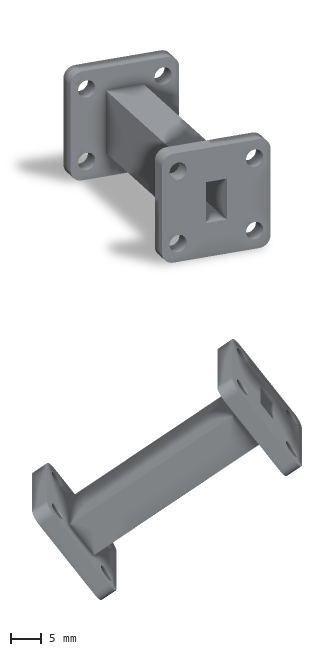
import cadquery as cq

length = 40.0
flange_side = 19.1
flange_thickness = 2.95
corner_radius = 2.0

tube_width = 6.65
tube_height = 10.95
passage_width = 3.7
passage_height = 7.2

hole_diameter = 3.0
hole_spacing_y = 13.5
hole_spacing_z = 12.7


def make_flange(start_x):
    """Square plate with rounded corners and four bolt holes, extending in +X from start_x."""
    return (
        cq.Workplane("YZ", origin=(start_x, 0, 0))
        .rect(flange_side, flange_side)
        .extrude(flange_thickness)
        .edges("|X")
        .fillet(corner_radius)
        .faces("<X")
        .workplane(centerOption="CenterOfBoundBox")
        .rect(hole_spacing_y, hole_spacing_z, forConstruction=True)
        .vertices()
        .hole(hole_diameter)
    )


tube = cq.Workplane("XY").box(length, tube_width, tube_height)
passage = cq.Workplane("XY").box(length, passage_width, passage_height)

result = tube
for flange_start in (-length / 2, length / 2 - flange_thickness):
    result = result.union(make_flange(flange_start))
result = result.cut(passage)